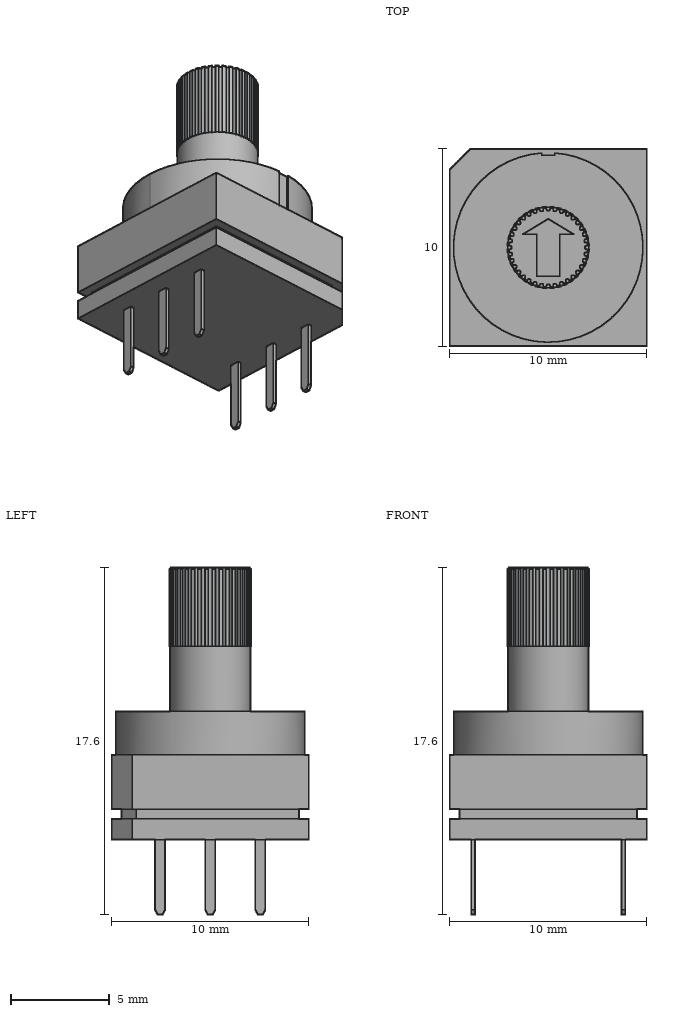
import cadquery as cq
import math

body_side = 10.0
corner_chamfer = 1.05
base_height = 1.05
neck_height = 0.5
neck_inset = 0.5
block_height = 2.75

disc_diameter = 9.6
disc_height = 2.2
notch_width = 0.65
notch_depth = 0.13

shaft_diameter = 4.1
shaft_height = 3.3
knurl_diameter = 4.15
knurl_height = 4.0
knurl_chamfer_height = 0.1
knurl_chamfer_width = 0.08
groove_count = 36
groove_depth = 0.22
groove_width = 0.18

arrow_length = 2.9
arrow_head_width = 2.6
arrow_head_length = 0.78
arrow_stem_width = 1.15
arrow_depth = 1.5

pin_pitch = 2.54
pin_row_spacing = 3 * pin_pitch
pins_per_row = 3
pin_length = 3.8
pin_thickness = 0.2
pin_width = 0.52
pin_tip_chamfer_width = 0.13
pin_tip_chamfer_height = 0.25

neck_bottom = base_height
block_bottom = neck_bottom + neck_height
disc_bottom = block_bottom + block_height
shaft_bottom = disc_bottom + disc_height
knurl_bottom = shaft_bottom + shaft_height
tip_top = knurl_bottom + knurl_height


def make_layer(side, chamfer, bottom, height):
    """Square plate with its (-X, +Y) vertical edge chamfered."""
    return (
        cq.Workplane("XY")
        .workplane(offset=bottom)
        .rect(side, side)
        .extrude(height)
        .edges("|Z and <X and >Y")
        .chamfer(chamfer)
    )


def make_cylinder(diameter, bottom, height):
    return cq.Workplane("XY").workplane(offset=bottom).circle(diameter / 2).extrude(height)


def make_housing():
    neck_chamfer = corner_chamfer - neck_inset * (2 - math.sqrt(2))
    neck_side = body_side - 2 * neck_inset
    base = make_layer(body_side, corner_chamfer, 0, base_height)
    neck = make_layer(neck_side, neck_chamfer, neck_bottom, neck_height)
    block = make_layer(body_side, corner_chamfer, block_bottom, block_height)
    return base.union(neck).union(block)


def make_disc():
    notch = (
        cq.Workplane("XY")
        .workplane(offset=disc_bottom)
        .center(0, disc_diameter / 2)
        .rect(notch_width, 2 * notch_depth)
        .extrude(disc_height)
    )
    return make_cylinder(disc_diameter, disc_bottom, disc_height).cut(notch)


def make_groove():
    """Cutter for one straight, round-bottomed groove on the +X side of the knurl."""
    half_width = groove_width / 2
    rim_x = knurl_diameter / 2 + groove_width
    bottom_x = knurl_diameter / 2 - groove_depth
    arc_start_x = bottom_x + half_width
    return (
        cq.Workplane("XY")
        .workplane(offset=knurl_bottom)
        .moveTo(rim_x, half_width)
        .lineTo(arc_start_x, half_width)
        .threePointArc((bottom_x, 0), (arc_start_x, -half_width))
        .lineTo(rim_x, -half_width)
        .close()
        .extrude(knurl_height)
    )


def make_knurl():
    """Shaft tip with straight grooves around it and a chamfered top edge."""
    knurl = make_cylinder(knurl_diameter, knurl_bottom, knurl_height)
    knurl = knurl.faces(">Z").chamfer(knurl_chamfer_height, knurl_chamfer_width)
    groove = make_groove()
    for index in range(groove_count):
        angle = index * 360 / groove_count
        knurl = knurl.cut(groove.rotate((0, 0, 0), (0, 0, 1), angle))
    return knurl


def make_arrow_pocket():
    tip_y = arrow_length / 2
    head_y = tip_y - arrow_head_length
    half_head = arrow_head_width / 2
    half_stem = arrow_stem_width / 2
    outline = [
        (0, tip_y),
        (half_head, head_y),
        (half_stem, head_y),
        (half_stem, -tip_y),
        (-half_stem, -tip_y),
        (-half_stem, head_y),
        (-half_head, head_y),
    ]
    return cq.Workplane("XY").workplane(offset=tip_top).polyline(outline).close().extrude(-arrow_depth)


def make_pin(x, y):
    """Flat pin hanging from the base, tapered across its width at the tip."""
    half_width = pin_width / 2
    half_tip = half_width - pin_tip_chamfer_width
    taper_z = pin_tip_chamfer_height - pin_length
    outline = [
        (-half_width, 0),
        (-half_width, taper_z),
        (-half_tip, -pin_length),
        (half_tip, -pin_length),
        (half_width, taper_z),
        (half_width, 0),
    ]
    pin = cq.Workplane("YZ").polyline(outline).close().extrude(pin_thickness / 2, both=True)
    return pin.translate((x, y, 0))


result = (
    make_housing()
    .union(make_disc())
    .union(make_cylinder(shaft_diameter, shaft_bottom, shaft_height))
    .union(make_knurl())
    .cut(make_arrow_pocket())
)
for row_x in (-pin_row_spacing / 2, pin_row_spacing / 2):
    for index in range(pins_per_row):
        pin_y = (index - (pins_per_row - 1) / 2) * pin_pitch
        result = result.union(make_pin(row_x, pin_y))